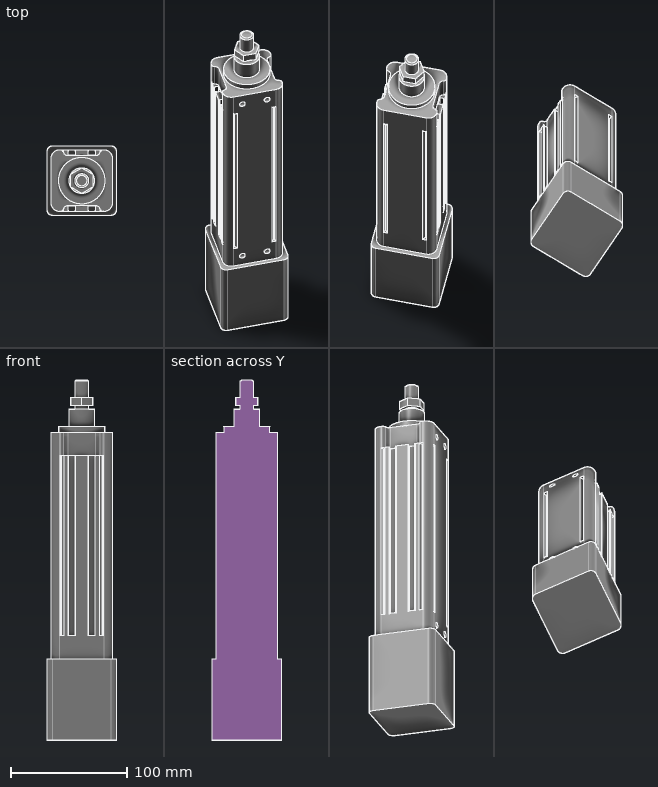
import cadquery as cq
import math

housing_width = 60.0
housing_height = 70.0
housing_corner_radius = 5.0

barrel_width = 53.0
barrel_height = 195.0
barrel_corner_radius = 7.5
barrel_half = barrel_width / 2
barrel_top = housing_height + barrel_height

flange_diameter = 40.0
flange_height = 5.0
collar_diameter = 22.0
collar_height = 15.0
rod_diameter = 12.0
rod_length = 25.0
rod_chamfer_width = 1.5
rod_chamfer_height = 1.0
nut_across_flats = 19.0
nut_height = 7.0
nut_gap = 3.0
nut_half_sector = 30.0

plain_end = 20.0
groove_bottom = housing_height + plain_end
groove_length = barrel_height - 2 * plain_end

pocket_depth = 5.0
pocket_floor_half_width = 12.0
pocket_floor_radius = 3.7
pocket_rim_radius = 2.8

slot_inner = 5.2
slot_outer = 12.0
slot_depth = 4.5
slot_lip_thickness = 1.0
slot_lip_overhang = 0.6

corner_groove_inner = 15.4
corner_groove_outer = 18.9
corner_groove_depth = 2.7
corner_groove_floor_inner = 17.3
corner_groove_floor_outer = 18.2

hole_diameter = 5.0
hole_depth = 10.0
hole_spacing = 22.0
hole_end_distance = 10.0
drill_tip_angle = 118.0


def rounded_block(width, height, radius):
    return cq.Workplane("XY").rect(width, width).extrude(height).edges("|Z").fillet(radius)


def rod_stack():
    flange = cq.Workplane("XY").circle(flange_diameter / 2).extrude(flange_height)
    collar = flange.faces(">Z").workplane().circle(collar_diameter / 2).extrude(collar_height)
    rod = (
        cq.Workplane("XY").circle(rod_diameter / 2).extrude(rod_length)
        .faces(">Z").edges().chamfer(rod_chamfer_height, rod_chamfer_width)
    )
    nut_across_corners = nut_across_flats / math.cos(math.radians(nut_half_sector))
    nut = (
        cq.Workplane("XY").polygon(6, nut_across_corners).extrude(nut_height)
        .rotate((0, 0, 0), (0, 0, 1), nut_half_sector)
        .translate((0, 0, nut_gap))
    )
    return collar.union(rod.union(nut).translate((0, 0, flange_height + collar_height)))


def pocket_cutter():
    """Pocket on the -Y face: flat floor, each side a concave arc running into a convex one."""
    radius_sum = pocket_floor_radius + pocket_rim_radius
    bend = math.acos(1 - pocket_depth / radius_sum)
    floor_y = -barrel_half + pocket_depth

    def on_floor_arc(angle):
        return (
            pocket_floor_half_width + pocket_floor_radius * math.sin(angle),
            floor_y - pocket_floor_radius * (1 - math.cos(angle)),
        )

    def on_rim_arc(angle):
        rim_x = pocket_floor_half_width + radius_sum * math.sin(bend)
        return (
            rim_x - pocket_rim_radius * math.sin(angle),
            -barrel_half + pocket_rim_radius * (1 - math.cos(angle)),
        )

    def mirrored(point):
        return (-point[0], point[1])

    floor_end = on_floor_arc(0)
    floor_middle = on_floor_arc(bend / 2)
    inflection = on_floor_arc(bend)
    rim_middle = on_rim_arc(bend / 2)
    rim_end = on_rim_arc(0)
    return (
        cq.Workplane("XY", origin=(0, 0, barrel_top - plain_end))
        .moveTo(*mirrored(floor_end))
        .lineTo(*floor_end)
        .threePointArc(floor_middle, inflection)
        .threePointArc(rim_middle, rim_end)
        .lineTo(*mirrored(rim_end))
        .threePointArc(mirrored(rim_middle), mirrored(inflection))
        .threePointArc(mirrored(floor_middle), mirrored(floor_end))
        .close()
        .extrude(plain_end)
    )


def groove_cutters(profile):
    """Pair of grooves in the -Y face, from (distance from centre, depth) points of one of them."""
    points = [(x, depth - barrel_half) for x, depth in profile]
    groove = (
        cq.Workplane("XY", origin=(0, 0, groove_bottom))
        .polyline(points).close().extrude(groove_length)
    )
    return groove.union(groove.mirror("YZ"))


def sensor_slots():
    return groove_cutters([
        (slot_inner + slot_lip_overhang, 0),
        (slot_inner + slot_lip_overhang, slot_lip_thickness),
        (slot_inner, slot_lip_thickness),
        (slot_inner, slot_depth),
        (slot_outer, slot_depth),
        (slot_outer, slot_lip_thickness),
        (slot_outer - slot_lip_overhang, slot_lip_thickness),
        (slot_outer - slot_lip_overhang, 0),
    ])


def corner_grooves():
    return groove_cutters([
        (corner_groove_inner, 0),
        (corner_groove_floor_inner, corner_groove_depth),
        (corner_groove_floor_outer, corner_groove_depth),
        (corner_groove_outer, 0),
    ])


def drilled_hole():
    """Cylinder with a conical drill tip, running along +X from the origin."""
    radius = hole_diameter / 2
    tip_length = radius / math.tan(math.radians(drill_tip_angle / 2))
    return (
        cq.Workplane("XY")
        .polyline([(0, 0), (hole_depth + tip_length, 0), (hole_depth, radius), (0, radius)])
        .close()
        .revolve(360, (0, 0, 0), (1, 0, 0))
    )


def mounting_holes():
    row_spacing = barrel_height - 2 * hole_end_distance
    return (
        cq.Workplane("XY", origin=(-barrel_half, 0, housing_height + barrel_height / 2))
        .pushPoints([
            (0, y, z)
            for y in (-hole_spacing / 2, hole_spacing / 2)
            for z in (-row_spacing / 2, row_spacing / 2)
        ])
        .eachpoint(drilled_hole().val(), combine=False)
        .combine()
    )


def turned(cutter, angle):
    return cutter.rotate((0, 0, 0), (0, 0, 1), angle)


barrel = rounded_block(barrel_width, barrel_height, barrel_corner_radius)
barrel = barrel.translate((0, 0, housing_height))
for angle in (0, 180):
    barrel = barrel.cut(turned(pocket_cutter(), angle))
    barrel = barrel.cut(turned(sensor_slots(), angle))
for angle in (0, 90, 180, 270):
    barrel = barrel.cut(turned(corner_grooves(), angle))
barrel = barrel.cut(mounting_holes())

housing = rounded_block(housing_width, housing_height, housing_corner_radius)
result = housing.union(barrel).union(rod_stack().translate((0, 0, barrel_top)))